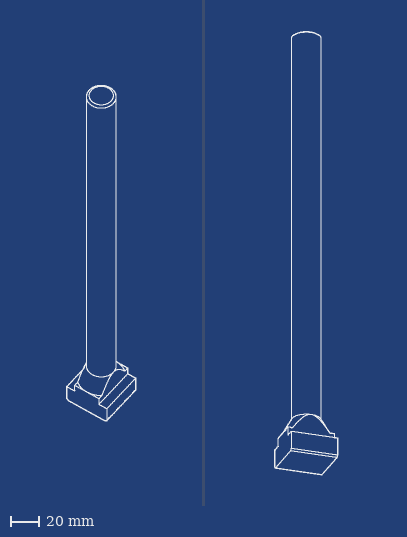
import cadquery as cq

total_length = 329.0
head_side = 35.0
head_height = 14.5
head_chamfer = 1.3
stem_diameter = 21.0
neck_width = stem_diameter
neck_top = 20.7
cone_top = 33.0
tip_chamfer_width = 2.0
tip_chamfer_height = 1.3


def make_head():
    """Square head with its two bottom edges along Y chamfered."""
    head = cq.Workplane("XY").box(head_side, head_side, head_height, centered=(True, True, False))
    return head.faces("<Z").edges("|Y").chamfer(head_chamfer)


def make_neck_block(top):
    """Slot-width block running the full depth of the head, from the base up to the given height."""
    return cq.Workplane("XY").box(neck_width, head_side, top, centered=(True, True, False))


def make_transition():
    """Cone from the head's inscribed circle to the stem, trimmed to the neck width."""
    cone = (
        cq.Workplane("XY", origin=(0, 0, neck_top))
        .circle(head_side / 2)
        .workplane(offset=cone_top - neck_top)
        .circle(stem_diameter / 2)
        .loft()
    )
    return cone.intersect(make_neck_block(cone_top))


def make_stem():
    """Round stem with a chamfered tip."""
    stem = cq.Workplane("XY", origin=(0, 0, cone_top)).circle(stem_diameter / 2).extrude(total_length - cone_top)
    return stem.faces(">Z").chamfer(tip_chamfer_height, tip_chamfer_width)


result = make_head().union(make_neck_block(neck_top)).union(make_transition()).union(make_stem())